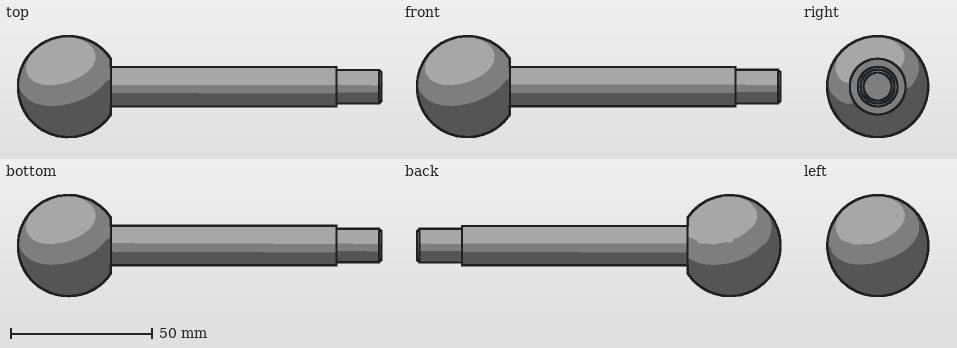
import cadquery as cq

total_length = 129.0
ball_diameter = 36.0
ball_length = 33.0
shaft_diameter = 14.0
pin_diameter = 12.0
pin_length = 16.0
pin_chamfer = 1.0

ball_radius = ball_diameter / 2
shaft_end = total_length - pin_length


def rod(diameter, start, end):
    """Cylinder along X between two positions."""
    return cq.Workplane("YZ", origin=(start, 0, 0)).circle(diameter / 2).extrude(end - start)


def ball_knob():
    """Ball with its pole at X = 0, cut flat where the shaft enters."""
    flat_offset = ball_length - ball_radius
    flat_radius = (ball_radius**2 - flat_offset**2) ** 0.5
    return (
        cq.Workplane("XY")
        .moveTo(0, 0)
        .threePointArc((ball_radius, ball_radius), (ball_length, flat_radius))
        .lineTo(ball_length, 0)
        .close()
        .revolve(360, (0, 0, 0), (1, 0, 0))
    )


shaft = rod(shaft_diameter, ball_length, shaft_end)
pin = rod(pin_diameter, shaft_end, total_length).faces(">X").chamfer(pin_chamfer)

result = ball_knob().union(shaft).union(pin)